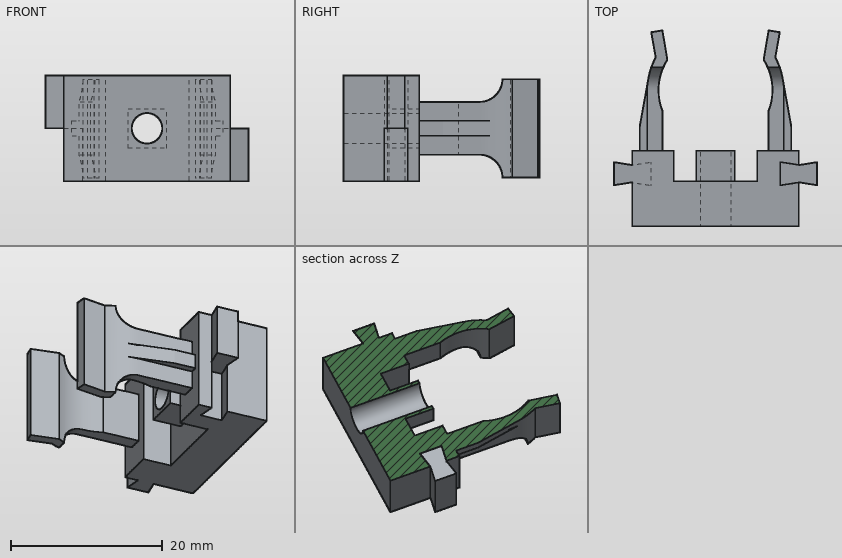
import cadquery as cq
import math

overall_width = 26.8
tenon_length = 2.39
base_width = overall_width - 2 * tenon_length
base_depth = 10.0
height = 14.0
recess_width = 11.0
recess_floor_y = 5.98

boss_size = 5.1
hole_diameter = 4.0

dovetail_y = 6.95
dovetail_neck = 2.3
dovetail_wide = 3.08
socket_depth = 2.5

grip_y = 17.95
grip_radius = 7.5
arm_thickness = 1.5
arm_outer_radius = grip_radius + arm_thickness
arm_root_inner_x = 6.97
arm_height = 13.0
arm_neck_height = 7.0
neck_radius = (arm_height - arm_neck_height) / 2
inner_knee_rise = 4.02
outer_knee_rise = 4.31
tip_inner = (7.0, 25.85)
tip_outer = (8.5, 25.62)

rib_outer_x = 10.02
rib_taper_y = 13.1
rib_end_y = 19.25
rib_height = 2.0


def centred_prism(outline, thickness):
    """Extrude an XY outline symmetrically about Z = 0."""
    return outline.extrude(thickness / 2, both=True)


def circle_point(radius, rise):
    """Point on a circle about the grip axis, rise above its centre in Y."""
    return (math.sqrt(radius**2 - rise**2), grip_y + rise)


def make_base():
    block = cq.Workplane("XY").box(base_width, base_depth, height, centered=(True, False, True))
    recess_depth = base_depth - recess_floor_y
    recess = (
        cq.Workplane("XY")
        .box(recess_width, recess_depth, height, centered=(True, False, True))
        .translate((0, recess_floor_y, 0))
    )
    boss = cq.Workplane("XY").box(boss_size, base_depth, boss_size, centered=(True, False, True))
    hole = cq.Workplane("XZ").circle(hole_diameter / 2).extrude(-base_depth)
    return block.cut(recess).union(boss).cut(hole)


def dovetail(side, direction, length, bottom_z):
    """Half-height dovetail widening from a side face in the given X direction."""
    neck_x = side * base_width / 2
    end_x = neck_x + direction * length
    return (
        cq.Workplane("XY", origin=(0, 0, bottom_z))
        .moveTo(neck_x, dovetail_y - dovetail_neck / 2)
        .lineTo(end_x, dovetail_y - dovetail_wide / 2)
        .lineTo(end_x, dovetail_y + dovetail_wide / 2)
        .lineTo(neck_x, dovetail_y + dovetail_neck / 2)
        .close()
        .extrude(height / 2)
    )


def make_arm():
    """Arm on the +X side, with its rib."""
    root_rise = -math.sqrt(grip_radius**2 - arm_root_inner_x**2)
    profile = (
        cq.Workplane("XY")
        .moveTo(arm_root_inner_x, base_depth)
        .lineTo(*circle_point(grip_radius, root_rise))
        .threePointArc(circle_point(grip_radius, 0), circle_point(grip_radius, inner_knee_rise))
        .lineTo(*tip_inner)
        .lineTo(*tip_outer)
        .lineTo(*circle_point(arm_outer_radius, outer_knee_rise))
        .threePointArc(
            circle_point(arm_outer_radius, outer_knee_rise / 2),
            circle_point(arm_outer_radius, 0),
        )
        .lineTo(arm_outer_radius, base_depth)
        .close()
    )
    arm = centred_prism(profile, arm_height)

    for side in (-1, 1):
        neck_z = side * arm_neck_height / 2
        edge_z = side * arm_height / 2
        middle = neck_radius * math.sqrt(0.5)
        neck_cut = (
            cq.Workplane("YZ")
            .moveTo(base_depth, neck_z)
            .lineTo(grip_y, neck_z)
            .threePointArc((grip_y + middle, edge_z - side * middle), (grip_y + neck_radius, edge_z))
            .lineTo(base_depth, edge_z)
            .close()
            .extrude(overall_width / 2)
        )
        arm = arm.cut(neck_cut)

    rib_inner_x = arm_outer_radius - arm_thickness / 2
    rib_profile = (
        cq.Workplane("XY")
        .moveTo(rib_inner_x, base_depth)
        .lineTo(rib_outer_x, base_depth)
        .lineTo(rib_outer_x, rib_taper_y)
        .lineTo(*circle_point(arm_outer_radius, rib_end_y - grip_y))
        .lineTo(rib_inner_x, grip_y)
        .close()
    )
    return arm.union(centred_prism(rib_profile, rib_height))


result = make_base()

for side, tenon_bottom, socket_bottom in ((-1, 0, -height / 2), (1, -height / 2, 0)):
    result = result.union(dovetail(side, side, tenon_length, tenon_bottom))
    result = result.cut(dovetail(side, -side, socket_depth, socket_bottom))

right_arm = make_arm()
result = result.union(right_arm).union(right_arm.mirror("YZ"))